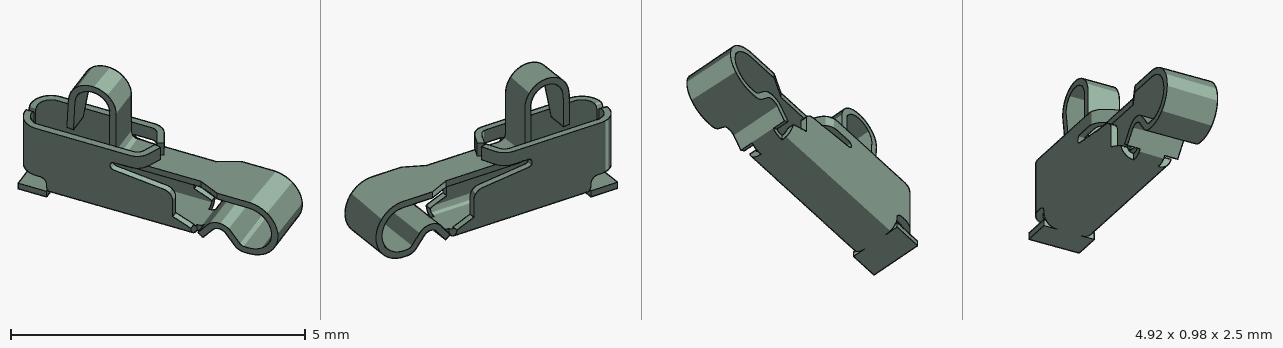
import cadquery as cq
import math


sheet = 0.125
length = 4.92
width = 0.98
height = 2.5
half_width = width / 2
bend_inner = 0.13
bend_outer = bend_inner + sheet
bend_mid = bend_inner + sheet / 2

wall_top = 1.405
wrap_bottom = 0.4
front_corner = 0.375
front_gap = 0.075
gap_rounding = 0.075
back_corner = 0.295
back_corner_x = 2.14
flange_end = (2.46, 0.045)
floor_start = 0.04
channel_start = 0.575
floor_end = 3.28
relief_radius = 0.135
lip_end_z = 0.21
lip_knee = (3.228, 0.24)
rear_edge_x = 2.94
rear_edge_bottom = 0.36
shoulder_radius = 0.19
shoulder_top = 0.89

slot_radius = 0.08
slot_x = 1.845
slot_z = 1.075
slot_top = slot_z + slot_radius

neck_half = half_width - bend_outer
neck_x = 3.315
crest_x = 3.82
crest_top = 0.5
crest_mid = 0.22
foot_x = 4.295
loop_outer = 0.55
loop_mid = loop_outer - sheet / 2
loop_x = length - loop_outer
loop_z = 0.58
arm_half = 0.305
taper_start = 3.385
taper_end = 3.78
arm_mid_z = loop_z + loop_mid

hook_outer = 0.45
hook_mid = hook_outer - sheet / 2
hook_x = 1.35
hook_z = height - hook_outer
leg_x = hook_x + hook_mid
tip_mid = (0.88, 1.37)
tip_half = 0.195
tip_taper_top = 2.035


def heading_between(first, second):
    """Heading of the line that leaves one stop and meets the next tangentially."""
    dx = second[0] - first[0]
    dy = second[1] - first[1]
    rise = (second[2] - first[2]) / math.hypot(dx, dy)
    return math.atan2(dy, dx) - math.asin(rise)


def point_on(stop, heading, offset):
    """Point where a path with this heading touches the stop, moved left by offset."""
    reach = stop[2] - offset
    return (stop[0] + reach * math.sin(heading), stop[1] - reach * math.cos(heading))


def trace(stops, offset=0.0):
    """Follow (x, y, radius) stops: radius > 0 turns left, < 0 turns right, 0 is an end point.

    Returns one tuple per stop: (point,) for an end, (entry, middle, exit) for an arc.
    """
    headings = [heading_between(a, b) for a, b in zip(stops, stops[1:])]
    pieces = [(point_on(stops[0], headings[0], offset),)]
    for stop, before, after in zip(stops[1:-1], headings, headings[1:]):
        turn_sign = math.copysign(1, stop[2])
        turn = turn_sign * ((turn_sign * (after - before)) % (2 * math.pi))
        angles = (before, before + turn / 2, before + turn)
        pieces.append(tuple(point_on(stop, angle, offset) for angle in angles))
    pieces.append((point_on(stops[-1], headings[-1], offset),))
    return pieces


def draw(sketch, pieces):
    """Add traced pieces to a sketch as lines and arcs."""
    for piece in pieces:
        sketch = sketch.lineTo(*piece[0])
        if len(piece) == 3:
            sketch = sketch.threePointArc(piece[1], piece[2])
    return sketch


def strip(plane, stops):
    """Closed outline of a sheet-thick strip whose middle line follows the stops."""
    backward = [(x, y, -radius) for x, y, radius in reversed(stops)]
    left = trace(stops, sheet / 2)
    right = trace(backward, sheet / 2)
    sketch = cq.Workplane(plane).moveTo(*left[0][0])
    return draw(sketch, left[1:] + right).close()


def block(x_range, y_half, z_range):
    """Box centred on Y = 0."""
    size = (x_range[1] - x_range[0], 2 * y_half, z_range[1] - z_range[0])
    solid = cq.Workplane("XY").box(*size, centered=(False, True, False))
    return solid.translate((x_range[0], 0, z_range[0]))


def channel():
    """U-shaped floor and side walls, trimmed to the side outline of the walls."""
    x_range = (front_corner, floor_end)
    outside = block(x_range, half_width, (0, wall_top)).edges("|X and <Z").fillet(bend_outer)
    inside = block(x_range, half_width - sheet, (sheet, wall_top)).edges("|X and <Z").fillet(bend_inner)
    section = outside.cut(inside)

    relief_middle = relief_radius * math.sqrt(0.5)
    relief_x = channel_start - relief_radius
    relief_z = wrap_bottom - relief_radius
    slot_and_shoulder = [
        (back_corner_x, slot_top, 0),
        (slot_x, slot_z, slot_radius),
        (rear_edge_x - shoulder_radius, shoulder_top - shoulder_radius, -shoulder_radius),
        (rear_edge_x, rear_edge_bottom, 0),
    ]
    outline = cq.Workplane("XZ").moveTo(front_corner, wall_top).lineTo(back_corner_x, wall_top)
    outline = (
        draw(outline, trace(slot_and_shoulder))
        .lineTo(*lip_knee)
        .lineTo(floor_end, lip_end_z)
        .lineTo(floor_end, 0)
        .lineTo(channel_start, 0)
        .lineTo(channel_start, relief_z)
        .threePointArc((relief_x + relief_middle, relief_z + relief_middle), (relief_x, wrap_bottom))
        .lineTo(front_corner, wrap_bottom)
        .close()
    )
    return section.intersect(outline.extrude(half_width, both=True))


def wrapped_walls():
    """Front corners and back flanges rolled inward from the side walls."""
    wall_mid_y = half_width - sheet / 2
    front_stops = [
        (sheet / 2, front_gap / 2, 0),
        (front_corner, half_width - front_corner, sheet / 2 - front_corner),
        (channel_start - relief_radius, wall_mid_y, 0),
    ]
    back_stops = [
        (channel_start, wall_mid_y, 0),
        (back_corner_x, half_width - back_corner, sheet / 2 - back_corner),
        (*flange_end, 0),
    ]
    front = strip("XY", front_stops).extrude(wall_top - wrap_bottom).translate((0, 0, wrap_bottom))
    front = front.edges("|X").edges("<Y").fillet(gap_rounding)
    back = strip("XY", back_stops).extrude(wall_top - slot_top).translate((0, 0, slot_top))
    side = front.union(back)
    return side.union(side.mirror("XZ"))


def arm_width_limit():
    """Plan shape of the arm and hook: narrow at the housing, flaring to full width."""
    return (
        cq.Workplane("XY")
        .workplane(offset=loop_z)
        .moveTo(0, -arm_half)
        .lineTo(taper_start, -arm_half)
        .lineTo(taper_end, -half_width)
        .lineTo(length, -half_width)
        .lineTo(length, half_width)
        .lineTo(taper_end, half_width)
        .lineTo(taper_start, arm_half)
        .lineTo(0, arm_half)
        .close()
        .extrude(height)
    )


def hook_tip_trim():
    """Wedge beside the free leg of the hook, narrowing it toward its tip."""
    tip_bottom = tip_mid[1] - sheet
    slope = (arm_half - tip_half) / (tip_taper_top - tip_mid[1])
    bottom_half = tip_half - slope * sheet
    wedge = (
        cq.Workplane("YZ")
        .polyline([(arm_half, tip_taper_top), (arm_half, tip_bottom), (bottom_half, tip_bottom)])
        .close()
        .extrude(hook_x)
    )
    return wedge.union(wedge.mirror("XZ"))


def spring():
    """Neck, wave, loop, arm and hook bent from one strip."""
    neck_bend = (neck_x, bend_outer, bend_mid)
    crest = (crest_x, crest_top - sheet / 2 - crest_mid, -crest_mid)
    foot = (foot_x, loop_z - loop_mid + bend_mid, bend_mid)
    loop = (loop_x, loop_z, loop_mid)
    leg_bend = (leg_x + bend_mid, arm_mid_z + bend_mid, -bend_mid)
    hook = (hook_x, hook_z, hook_mid)
    tip = (*tip_mid, 0)
    floor_point = (channel_start, sheet / 2, 0)

    bends = trace([floor_point, neck_bend, crest, foot, loop, leg_bend, hook, tip])
    flank_start = (*bends[1][-1], 0)
    flank_end = (*bends[2][0], 0)

    neck = strip("XZ", [floor_point, neck_bend, flank_end]).extrude(neck_half, both=True)
    wide_stops = [flank_start, crest, foot, loop, leg_bend, hook, tip]
    body = strip("XZ", wide_stops).extrude(half_width, both=True)
    lower_limit = block((0, length), half_width, (0, loop_z))
    body = body.intersect(lower_limit.union(arm_width_limit())).cut(hook_tip_trim())
    return neck.union(body)


front_tab = block((floor_start, channel_start), half_width, (0, sheet))
result = channel().union(wrapped_walls()).union(front_tab).union(spring())